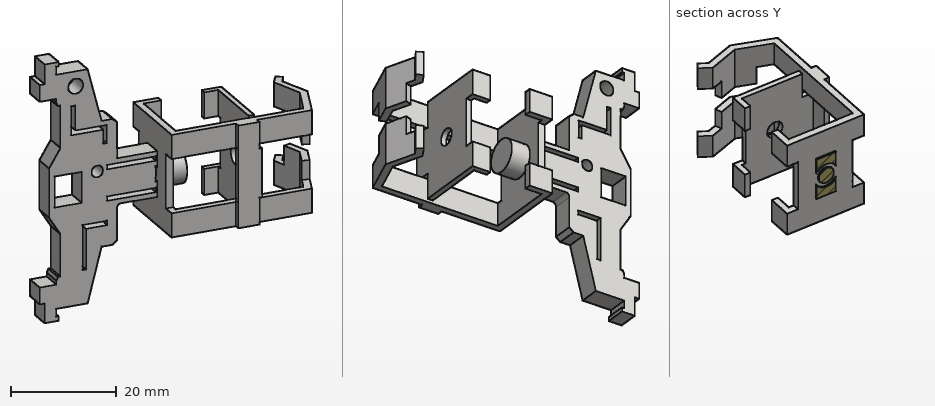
import cadquery as cq
import math


overall_length = 56.75

clip_width = 17.6
clip_height = 21.1
sheet = 1.55
clip_left = -clip_width / 2
clip_right = clip_width / 2

front_lip_thickness = 1.4
front_lip_end = 5.2

shelf_back = 18.35
shelf_thickness = 1.2
shelf_front = shelf_back - shelf_thickness
shelf_right = 6.3
shelf_lip_thickness = 1.25
shelf_lip_end = 14.25
shelf_notch_right = -6.65
shelf_notch_height = 10.35
tongue_height = 10.1

window_height = 11.1
window_left = -6.3
window_right = 6.2

pad_thickness = 1.15
pad_right = clip_right + pad_thickness
pad_front = 13.4
pad_back = 17.8

hook_corner = (clip_right, 29.25)
hook_peak = (0.0, 32.3)
hook_valley = (-6.45, 29.95)
hook_tip = (-8.35, 31.05)
hook_gap = 3.3
hook_ear_reach = 4.55

boss_radius = 3.5
boss_end = 5.7
pin_radius = 1.75
recess_radius = 2.6
recess_depth = 0.35

arm_thickness = 4.5
arm_height = 53.2
arm_half = arm_height / 2
neck_half = 4.7
shoulder_y = -8.35
neck_fillet = 0.8
arm_end = hook_peak[1] - overall_length

large_hole = (-16.95, 21.0)
large_hole_diameter = 3.05
small_hole = (-12.5, 2.7)
small_hole_diameter = 2.4

arm_openings = [
    ((-21.35, -15.7), (-3.2, 3.2)),
    ((-10.45, -0.3), (2.8, 3.7)),
    ((-10.45, -0.3), (-3.7, -2.8)),
    ((-17.95, -17.0), (11.05, 17.0)),
    ((-17.95, -10.55), (11.05, 11.9)),
    ((-11.25, -10.55), (8.2, 11.9)),
    ((-15.55, -10.4), (-8.7, -7.8)),
    ((-15.55, -14.8), (-17.0, -7.8)),
]


def block(x_range, y_range, z_range):
    """Axis-aligned box between the given limits."""
    (x0, x1), (y0, y1), (z0, z1) = x_range, y_range, z_range
    return cq.Workplane("XY").box(x1 - x0, y1 - y0, z1 - z0, centered=False).translate((x0, y0, z0))


def centred(height):
    """Limits of a height centred on Z = 0."""
    return (-height / 2, height / 2)


def extruded(points, height):
    """Outline in X and Y, extruded symmetrically about Z = 0."""
    return cq.Workplane("XY").polyline(points).close().extrude(height / 2, both=True)


def cylinder_y(radius, y_start, y_end):
    """Cylinder on the Y axis."""
    return cq.Workplane("XZ", origin=(0, y_start, 0)).circle(radius).extrude(y_start - y_end)


def unit_direction(start, end):
    """Direction from start to end with length 1."""
    length = math.dist(start, end)
    return ((end[0] - start[0]) / length, (end[1] - start[1]) / length)


def inset_path(path, distance):
    """Corners of an open path moved to its left by a distance, with mitred corners."""
    directions = [unit_direction(start, end) for start, end in zip(path, path[1:])]
    before = directions[:1] + directions
    after = directions + directions[-1:]
    inset = []
    for (x, y), (ux, uy), (vx, vy) in zip(path, before, after):
        scale = distance / (1 + ux * vx + uy * vy)
        inset.append((x - (uy + vy) * scale, y + (ux + vx) * scale))
    return inset


def point_at_x(start, end, x):
    """Point with a given X on the line from start to end."""
    slope = (end[1] - start[1]) / (end[0] - start[0])
    return (x, start[1] + slope * (x - start[0]))


def make_rail_and_hook():
    """Right-hand rail and bent hook as one strip, split into an upper and a lower band."""
    outer = [(clip_right, 0), hook_corner, hook_peak, hook_valley, hook_tip]
    inner = inset_path(outer, sheet)
    strip = extruded(outer + inner[::-1], clip_height)
    band_gap = block((-clip_width, clip_width), (0, hook_peak[1]), centred(window_height))
    bands = strip.cut(band_gap)

    peak_outer = [
        point_at_x(hook_peak, hook_corner, hook_ear_reach),
        hook_peak,
        point_at_x(hook_peak, hook_valley, -hook_ear_reach),
    ]
    peak_inner = inset_path(peak_outer, sheet)
    ears = extruded(peak_outer + peak_inner[::-1], window_height)
    ear_gap = block((-clip_width, clip_width), (0, hook_peak[1]), centred(hook_gap))
    return bands.union(ears.cut(ear_gap))


def make_front_plate():
    """Front plate with its left lip, notched on both sides."""
    plate = block((clip_left, clip_right), (0, sheet), centred(clip_height))
    lip = block((clip_left, clip_left + front_lip_thickness), (0, front_lip_end), centred(clip_height))
    left_notch = block((clip_left, window_left), (0, front_lip_end), centred(window_height))
    right_notch = block((window_right, clip_right), (0, sheet), centred(window_height))
    return plate.union(lip).cut(left_notch).cut(right_notch)


def make_shelf():
    """Middle plate with its left lip, pin hole and the tongue that passes through the rail."""
    plate = block((clip_left, shelf_right), (shelf_front, shelf_back), centred(clip_height))
    lip = block(
        (clip_left, clip_left + shelf_lip_thickness), (shelf_lip_end, shelf_back), centred(clip_height)
    )
    notch = block((clip_left, shelf_notch_right), (shelf_lip_end, shelf_back), centred(shelf_notch_height))
    tongue = block((shelf_right, pad_right), (shelf_front, shelf_back), centred(tongue_height))
    hole = cylinder_y(pin_radius, shelf_front, shelf_back)
    return plate.union(lip).cut(notch).union(tongue).cut(hole)


def make_pad():
    """Pad on the outside of the rail that bridges its two bands."""
    return block((clip_right, pad_right), (pad_front, pad_back), centred(clip_height))


def arm_half_outline():
    """Upper half of the arm outline in Y and Z, from the clip to the far end."""
    return [
        (0, neck_half),
        (shoulder_y, neck_half),
        (shoulder_y, 12.15),
        (-9.35, 12.95),
        (-11.6, 12.95),
        (-14.5, 24.05),
        (-21.0, 24.05),
        (-21.0, 25.7),
        (-20.5, 25.7),
        (-20.5, arm_half),
        (-23.45, arm_half),
        (-23.45, 22.55),
        (arm_end, 22.55),
        (arm_end, 19.05),
        (-21.0, 19.05),
        (-21.0, 18.3),
        (-20.65, 17.55),
        (-20.15, 17.55),
        (-20.15, 8.85),
        (-22.55, 5.05),
    ]


def make_arm():
    """Flat arm in the YZ plane with its slots, window and holes."""
    upper = arm_half_outline()
    lower = [(y, -z) for y, z in reversed(upper)]
    arm = cq.Workplane("YZ").polyline(upper + lower).close().extrude(arm_thickness / 2, both=True)
    neck_corner = cq.selectors.NearestToPointSelector((0, shoulder_y, -neck_half))
    arm = arm.edges("|X").edges(neck_corner).fillet(neck_fillet)

    for y_range, z_range in arm_openings:
        arm = arm.cut(block(centred(arm_thickness), y_range, z_range))

    for centre, diameter in ((large_hole, large_hole_diameter), (small_hole, small_hole_diameter)):
        drill = cq.Workplane("YZ").center(*centre).circle(diameter / 2).extrude(arm_thickness, both=True)
        arm = arm.cut(drill)

    recess = cylinder_y(recess_radius, -recess_depth, 0)
    return arm.cut(recess)


def make_boss():
    """Pivot boss behind the front plate and the pin that joins the plate to the arm."""
    boss = cylinder_y(boss_radius, 0, boss_end)
    pin = cylinder_y(pin_radius, -recess_depth, 0)
    return boss.union(pin)


result = (
    make_front_plate()
    .union(make_rail_and_hook())
    .union(make_shelf())
    .union(make_pad())
    .union(make_arm())
    .union(make_boss())
)